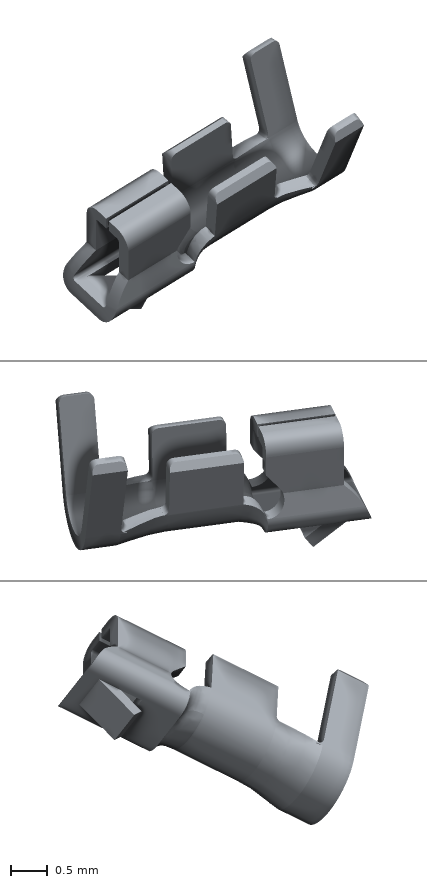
import cadquery as cq
import math


sheet = 0.2
bend_inner = 0.05
bend_outer = bend_inner + sheet

total_length = 4.1
box_top_front = 0.4
box_rear = 1.5
wire_crimp_front = 1.85
wire_crimp_rear = 2.9
insulation_crimp_front = 3.6

box_height = 1.5
box_half_width = 0.45
seam_gap = 0.057
waist_height = 0.645
floor_half_flat = 0.3
mouth_radius = 1.25
notch_radius = 0.25
notch_top = 0.96

lance_width = 0.512
lance_length = 0.695
lance_angle = 35.7
lance_root = 0.22

wire_radius = 0.55
wire_floor = 0.1
wire_lean = 4.0
wire_wing = 0.795
insulation_radius = 0.65
insulation_floor = 0.0
insulation_lean = 17.5
insulation_wing = 1.395
wing_corner = 0.1
wing_chamfer = 0.1

front_neck_station = 1.63
front_neck_floor = 0.033
front_neck_lean = 8.0
front_neck_split = 40.0
rear_neck_stations = (3.115, 3.46)
rear_neck_shares = (0.15, 0.75)
insulation_fillet = 0.09
wire_fillet = 0.075
fillet_root = 0.015


def polar(center, radius, degrees):
    """Point at an angle measured from straight down towards +X."""
    turn = math.radians(degrees)
    return (center[0] + radius * math.sin(turn), center[1] - radius * math.cos(turn))


def mirrored(point):
    return (-point[0], point[1])


def round_trough(station, radius, floor, lean):
    """Closed half-round sheet section, in the XZ plane at a station."""
    center = (0, floor + radius)
    end = polar(center, radius, 90 - lean)
    inner_end = polar(center, radius - sheet, 90 - lean)
    return (
        cq.Workplane("XZ", origin=(0, station, 0))
        .moveTo(*mirrored(end))
        .threePointArc((0, floor), end)
        .lineTo(*inner_end)
        .threePointArc((0, floor + sheet), mirrored(inner_end))
        .close()
    )


def split_trough(station, half_flat, radius, floor, lean, foot_angle):
    """Sheet section made of a floor piece between two side arcs."""
    center = (half_flat, floor + radius)
    end_angle = 90 - lean
    angles = (end_angle, (end_angle + foot_angle) / 2, foot_angle)
    end, middle, foot = [polar(center, radius, angle) for angle in angles]
    inner_end, inner_middle, inner_foot = [polar(center, radius - sheet, angle) for angle in angles]

    def floor_to(wire, target, height):
        if half_flat:
            return wire.lineTo(*target)
        return wire.threePointArc((0, height), target)

    wire = cq.Workplane("XZ", origin=(0, station, 0)).moveTo(*mirrored(end))
    wire = wire.threePointArc(mirrored(middle), mirrored(foot))
    wire = floor_to(wire, foot, floor)
    wire = wire.threePointArc(middle, end).lineTo(*inner_end)
    wire = wire.threePointArc(inner_middle, inner_foot)
    wire = floor_to(wire, mirrored(inner_foot), floor + sheet)
    wire = wire.threePointArc(mirrored(inner_middle), mirrored(inner_end))
    return wire.close()


def neck(sections):
    """Smooth sheet body through a row of trough sections."""
    wires = [section.wires().val() for section in sections]
    return cq.Workplane(cq.Solid.makeLoft(wires))


def wall_lean(wall_x, corner_radius):
    """Inward lean of a wall from the waist, tangent to a floor corner arc."""
    run = floor_half_flat - wall_x
    rise = waist_height - bend_outer
    to_center = math.degrees(math.atan2(run, rise))
    to_tangent = math.degrees(math.asin(corner_radius / math.hypot(run, rise)))
    return to_center + to_tangent


outer_lean = wall_lean(box_half_width, bend_outer)
inner_lean = wall_lean(box_half_width - sheet, bend_inner)


def box_half_shell():
    """Right half of the box, from the floor centre round to the roof seam."""
    floor_center = (floor_half_flat, bend_outer)
    roof_center = (box_half_width - bend_outer, box_height - bend_outer)
    inner_half = box_half_width - sheet
    half = (
        cq.Workplane("XZ")
        .moveTo(0, 0)
        .lineTo(floor_half_flat, 0)
        .threePointArc(
            polar(floor_center, bend_outer, (90 + outer_lean) / 2),
            polar(floor_center, bend_outer, 90 + outer_lean),
        )
        .lineTo(box_half_width, waist_height)
        .lineTo(box_half_width, roof_center[1])
        .threePointArc(polar(roof_center, bend_outer, 135), (roof_center[0], box_height))
        .lineTo(seam_gap / 2, box_height)
        .lineTo(seam_gap / 2, box_height - sheet)
        .lineTo(roof_center[0], box_height - sheet)
        .threePointArc(polar(roof_center, bend_inner, 135), (inner_half, roof_center[1]))
        .lineTo(inner_half, waist_height)
        .lineTo(*polar(floor_center, bend_inner, 90 + inner_lean))
        .threePointArc(
            polar(floor_center, bend_inner, (90 + inner_lean) / 2),
            (floor_half_flat, sheet),
        )
        .lineTo(0, sheet)
        .close()
    )
    return half.extrude(-box_rear)


def box_side_outline():
    """Side outline of the box: raked mouth in front, rounded notch behind."""
    notch_bottom = polar((floor_half_flat, bend_outer), bend_outer, 90 + outer_lean)[1]
    notch_center = (box_rear, notch_bottom + notch_radius)
    tangent = math.degrees(math.acos(notch_radius / (notch_top - notch_center[1])))
    outline = (
        cq.Workplane("YZ")
        .moveTo(0, 0)
        .radiusArc((box_top_front, waist_height), mouth_radius)
        .lineTo(box_top_front, box_height)
        .lineTo(box_rear, box_height)
        .lineTo(box_rear, notch_top)
        .lineTo(*polar(notch_center, notch_radius, tangent - 180))
        .threePointArc(
            polar(notch_center, notch_radius, (tangent - 180) / 2),
            (box_rear, notch_bottom),
        )
        .lineTo(box_rear, 0)
        .close()
    )
    return outline.extrude(2 * box_half_width, both=True)


def lance():
    """Tongue bent down about the bottom edge of its root."""
    slope = math.radians(lance_angle)
    root = (lance_root, 0)
    tip = (lance_root + lance_length * math.cos(slope), -lance_length * math.sin(slope))
    upper_tip = (tip[0] + sheet * math.sin(slope), tip[1] + sheet * math.cos(slope))
    outline = (
        cq.Workplane("YZ")
        .moveTo(*root)
        .lineTo(*tip)
        .lineTo(*upper_tip)
        .lineTo(*polar(root, sheet, 180 - lance_angle))
        .threePointArc(polar(root, sheet, 180 - lance_angle / 2), (lance_root, sheet))
        .close()
    )
    window = cq.Workplane("XY").box(
        lance_width, upper_tip[0] - lance_root, sheet, centered=(True, False, False)
    ).translate((0, lance_root, 0))
    return outline.extrude(lance_width / 2, both=True), window


def contact_box():
    half = box_half_shell()
    shell = half.union(half.mirror("YZ")).intersect(box_side_outline())
    tongue, window = lance()
    return shell.cut(window).union(tongue)


def fillet_web(face, direction, radius):
    """Concave web between a wing's end face and the neck's edge beside it."""
    toe = face + direction * radius
    return (
        cq.Workplane("YZ")
        .moveTo(face, -fillet_root)
        .lineTo(face, radius)
        .threePointArc(polar((toe, radius), radius, -45 * direction), (toe, 0))
        .lineTo(toe, -fillet_root)
        .close()
        .extrude(sheet)
    )


def crimp_barrel(front, rear, section, wing_length, web):
    """Open barrel: a round trough with a chamfered, round-cornered wing each side."""
    radius, floor, lean = section
    width = rear - front
    wing = cq.Workplane("XY").box(sheet, width, wing_length, centered=False)
    wing = wing.edges("|X and >Z").fillet(wing_corner)
    bevel = (
        cq.Workplane("XZ")
        .moveTo(sheet, wing_length)
        .lineTo(sheet - wing_chamfer, wing_length)
        .lineTo(sheet, wing_length - wing_chamfer)
        .close()
        .extrude(-width)
    )
    trough_edge = polar((0, floor + radius), radius, 90 - lean)
    wing = (
        wing.cut(bevel)
        .union(web)
        .translate((-sheet, 0, 0))
        .rotate((0, 0, 0), (0, 1, 0), lean)
        .translate((trough_edge[0], front, trough_edge[1]))
    )
    barrel = round_trough(front, *section).extrude(-width)
    return barrel.union(wing).union(wing.mirror("YZ"))


wire_section = (wire_radius, wire_floor, wire_lean)
insulation_section = (insulation_radius, insulation_floor, insulation_lean)


def between(share):
    """Trough part-way from the wire barrel to the insulation barrel."""
    return [a + share * (b - a) for a, b in zip(wire_section, insulation_section)]


front_neck = neck([
    split_trough(box_rear, floor_half_flat, bend_outer, 0, -outer_lean, 0),
    split_trough(front_neck_station, 0, wire_radius, front_neck_floor, front_neck_lean, front_neck_split),
    split_trough(wire_crimp_front, 0, *wire_section, front_neck_split),
])

rear_neck = neck([
    round_trough(wire_crimp_rear, *wire_section),
    *[round_trough(y, *between(share)) for y, share in zip(rear_neck_stations, rear_neck_shares)],
    round_trough(insulation_crimp_front, *insulation_section),
])

wire_barrel = crimp_barrel(
    wire_crimp_front,
    wire_crimp_rear,
    wire_section,
    wire_wing,
    fillet_web(wire_crimp_rear - wire_crimp_front, 1, wire_fillet),
)
insulation_barrel = crimp_barrel(
    insulation_crimp_front,
    total_length,
    insulation_section,
    insulation_wing,
    fillet_web(0, -1, insulation_fillet),
)

result = (
    contact_box()
    .union(front_neck)
    .union(wire_barrel)
    .union(rear_neck)
    .union(insulation_barrel)
)